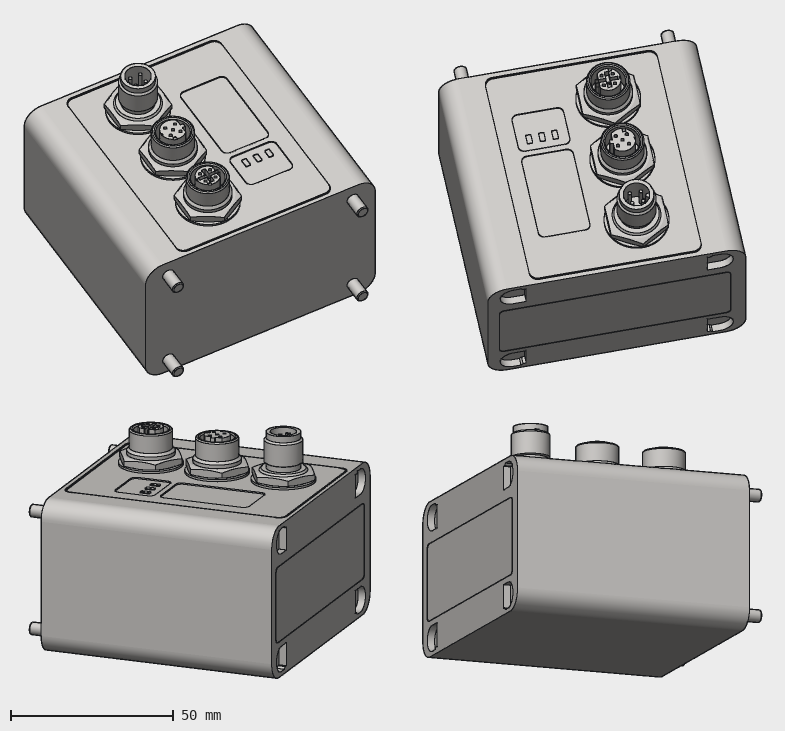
import cadquery as cq
import math

OVERALL_LENGTH = 83
BODY_LENGTH = 76.5
BODY_WIDTH = 81.0
BODY_HEIGHT = 49.0
BODY_EDGE_RADIUS = 6.1

PIN_DIAMETER = 4.0
PIN_LENGTH = OVERALL_LENGTH - BODY_LENGTH
PIN_CHAMFER = 0.3
SCREW_SPACING_Y = 65.0
SCREW_SPACING_Z = 38.0
HEAD_POCKET_DIAMETER = 8.1
HEAD_POCKET_DEPTH = 2.4
HEAD_POCKET_CORNER_DROP = 0.7
HEAD_POCKET_SHOULDER = 2.4

PLATE_WIDTH = 72.55
PLATE_HEIGHT = 24.4
PLATE_CORNER_RADIUS = 1.5
PLATE_DEPTH = 0.2
PLATE_OFFSET_Y = 0.5
PLATE_OFFSET_Z = -0.8

PANEL_LENGTH = 73.4
PANEL_WIDTH = 53.95
PANEL_CORNER_RADIUS = 2.65
PANEL_OFFSET_Y = -0.3
PANEL_DEPTH = 0.25
FOIL_LENGTH = 72.55
FOIL_THICKNESS = 0.2
FOIL_TOP = BODY_HEIGHT - PANEL_DEPTH + FOIL_THICKNESS

WINDOW_WIDTH = 16.2
WINDOW_CENTER_Y = 12.95
WINDOW_CORNER_RADIUS = 1.9
WINDOW_DEPTH = 0.4
WINDOW_FLOOR = FOIL_TOP - WINDOW_DEPTH
DISPLAY_LENGTH = 29.4
DISPLAY_CENTER_X = -7.55
LAMP_WINDOW_LENGTH = 13.3
LAMP_WINDOW_CENTER_X = 15.6
LAMP_LENGTH = 3.1
LAMP_WIDTH = 1.7
LAMP_HEIGHT = 0.25
LAMP_PITCH = 4.1
LAMP_CORNER_RADIUS = 0.3
LAMP_CENTER_X = 13.0
LAMP_CENTER_Y = 13.1

CONNECTOR_PITCH = 22.0
CONNECTOR_Y = -9.5
WASHER_DIAMETER = 20.0
WASHER_TOP = 0.6
NUT_ACROSS_FLATS = 18.0
NUT_ACROSS_CORNERS = NUT_ACROSS_FLATS / math.cos(math.pi / 6)
NUT_TOP = 3.3
NUT_FACE_DIAMETER = 17.1
NUT_CHAMFER = 0.6
COLLAR_DIAMETER = 15.0
CONTACT_OFFSET = 1.75
CONTACT_DIAMETER = 1.0

PLUG_TOP = 15.6
PLUG_SHOULDER_DIAMETER = 13.95
PLUG_SHOULDER_TOP = 4.0
PLUG_NECK_DIAMETER = 10.7
PLUG_NECK_TOP = 5.7
PLUG_THREAD_DIAMETER = 12.0
PLUG_THREAD_BOTTOM = 6.1
PLUG_THREAD_TOP = 13.0
PLUG_TIP_DIAMETER = PLUG_NECK_DIAMETER
PLUG_TIP_BOTTOM = 13.6
PLUG_BORE_DIAMETER = 8.1
PLUG_BORE_DEPTH = 8.3
PLUG_PIN_DIAMETER = 1.1
PLUG_PIN_RECESS = 1.7
PLUG_KEY_WIDTH = 1.3
PLUG_KEY_TIP = 2.9

SOCKET_TOP = 11.4
SOCKET_DIAMETER = 13.4
SOCKET_RIM_DIAMETER = 12.5
SOCKET_RIM_CHAMFER = 0.4
SOCKET_COLLAR_TOP = 4.5
SOCKET_CONE_TOP = 5.3
SOCKET_BORE_DIAMETER = 10.7
SOCKET_BORE_MOUTH_DIAMETER = 11.5
SOCKET_BORE_CHAMFER = 0.4
SOCKET_BORE_FLOOR = 4.15
INSERT_TOP = 12.0
INSERT_FLAT = 3.0
INSERT_KEY_WIDTH = 1.3
INSERT_KEY_REACH = 4.0
FIVE_POLE_INSERT_DIAMETER = 8.1
SHIELDED_INSERT_DIAMETER = 7.8
CONTACT_DEPTH = 3.3
SIDE_NOTCH_X = 2.9
SIDE_NOTCH_Y = -1.2
SIDE_NOTCH_WIDTH = 1.0
END_NOTCH_WIDTH = 0.7
END_NOTCH_REACH = 0.3
NOTCH_DEPTH = 0.25

CROSS_SLOT_WIDTH_X = 1.1
CROSS_SLOT_WIDTH_Y = 1.3
CROSS_ARM_X = 2.8
CROSS_ARM_FRONT = 3.1
CROSS_DEPTH = 2.5


def rounded_box(length, width, height, radius):
    """Box centred in X and Y, standing on Z = 0, with rounded upright edges."""
    return cq.Workplane("XY").rect(length, width).extrude(height).edges("|Z").fillet(radius)


def turned(profile):
    """Body of revolution about Z from (diameter, height) corners, closed along the axis."""
    outline = [(0, profile[0][1])]
    outline += [(diameter / 2, height) for diameter, height in profile]
    outline += [(0, profile[-1][1])]
    return cq.Workplane("XZ").polyline(outline).close().revolve(360, (0, 0), (0, 1))


def cylinder(diameter, bottom, top):
    return cq.Workplane("XY").workplane(offset=bottom).circle(diameter / 2).extrude(top - bottom)


def four_contacts(diameter, bottom, top):
    spacing = 2 * CONTACT_OFFSET
    return (
        cq.Workplane("XY")
        .workplane(offset=bottom)
        .rect(spacing, spacing, forConstruction=True)
        .vertices()
        .circle(diameter / 2)
        .extrude(top - bottom)
    )


def block(x_range, y_range, z_range):
    lows, highs = zip(x_range, y_range, z_range)
    size = [high - low for low, high in zip(lows, highs)]
    return cq.Workplane("XY").box(*size, centered=False).translate(lows)


def make_housing():
    return (
        cq.Workplane("XY")
        .box(BODY_LENGTH, BODY_WIDTH, BODY_HEIGHT, centered=(True, True, False))
        .edges("|X")
        .fillet(BODY_EDGE_RADIUS)
    )


def screw_pin():
    """Pin standing out of the +X end, on the X axis."""
    pin = cq.Workplane("YZ").circle(PIN_DIAMETER / 2).extrude(PIN_LENGTH)
    return pin.faces(">X").chamfer(PIN_CHAMFER).translate((BODY_LENGTH / 2, 0, 0))


def head_pocket(side_y, side_z):
    """Round pocket squared off towards the middle of the end face, with one stepped corner."""
    radius = HEAD_POCKET_DIAMETER / 2
    clipped = radius - HEAD_POCKET_CORNER_DROP
    round_part = cq.Workplane("YZ").circle(radius).extrude(HEAD_POCKET_DEPTH)
    square_part = (
        cq.Workplane("YZ")
        .moveTo(0, -side_z * radius)
        .lineTo(-side_y * radius, -side_z * radius)
        .lineTo(-side_y * radius, side_z * clipped)
        .lineTo(-side_y * (HEAD_POCKET_SHOULDER + HEAD_POCKET_CORNER_DROP), side_z * clipped)
        .lineTo(-side_y * HEAD_POCKET_SHOULDER, side_z * radius)
        .lineTo(0, side_z * radius)
        .close()
        .extrude(HEAD_POCKET_DEPTH)
    )
    return round_part.union(square_part).translate((-BODY_LENGTH / 2, 0, 0))


def add_screws(body):
    for side_y in (-1, 1):
        for side_z in (-1, 1):
            y = side_y * SCREW_SPACING_Y / 2
            z = BODY_HEIGHT / 2 + side_z * SCREW_SPACING_Z / 2
            body = body.union(screw_pin().translate((0, y, z)))
            body = body.cut(head_pocket(side_y, side_z).translate((0, y, z)))
    return body


def cut_name_plate(body):
    plate = (
        cq.Workplane("YZ")
        .rect(PLATE_WIDTH, PLATE_HEIGHT)
        .extrude(PLATE_DEPTH)
        .edges("|X")
        .fillet(PLATE_CORNER_RADIUS)
    )
    center = (-BODY_LENGTH / 2, PLATE_OFFSET_Y, BODY_HEIGHT / 2 + PLATE_OFFSET_Z)
    return body.cut(plate.translate(center))


def add_control_panel(body):
    recess = rounded_box(PANEL_LENGTH, PANEL_WIDTH, PANEL_DEPTH, PANEL_CORNER_RADIUS)
    foil = rounded_box(FOIL_LENGTH, PANEL_WIDTH, FOIL_THICKNESS, PANEL_CORNER_RADIUS)
    center = (0, PANEL_OFFSET_Y, BODY_HEIGHT - PANEL_DEPTH)
    return body.cut(recess.translate(center)).union(foil.translate(center))


def add_windows(body):
    windows = (
        (DISPLAY_CENTER_X, DISPLAY_LENGTH),
        (LAMP_WINDOW_CENTER_X, LAMP_WINDOW_LENGTH),
    )
    for center_x, length in windows:
        window = rounded_box(length, WINDOW_WIDTH, WINDOW_DEPTH, WINDOW_CORNER_RADIUS)
        body = body.cut(window.translate((center_x, WINDOW_CENTER_Y, WINDOW_FLOOR)))
    for step in (-1, 0, 1):
        lamp = rounded_box(LAMP_LENGTH, LAMP_WIDTH, LAMP_HEIGHT, LAMP_CORNER_RADIUS)
        y = LAMP_CENTER_Y + step * LAMP_PITCH
        body = body.union(lamp.translate((LAMP_CENTER_X, y, WINDOW_FLOOR)))
    return body


def connector_base():
    """Washer below a hexagon nut whose corners point along X and are chamfered at both ends."""
    washer = cylinder(WASHER_DIAMETER, -PANEL_DEPTH, WASHER_TOP)
    hexagon = (
        cq.Workplane("XY")
        .workplane(offset=WASHER_TOP)
        .polygon(6, NUT_ACROSS_CORNERS)
        .extrude(NUT_TOP - WASHER_TOP)
    )
    envelope = turned(
        [
            (NUT_FACE_DIAMETER, WASHER_TOP),
            (NUT_ACROSS_CORNERS, WASHER_TOP + NUT_CHAMFER),
            (NUT_ACROSS_CORNERS, NUT_TOP - NUT_CHAMFER),
            (NUT_FACE_DIAMETER, NUT_TOP),
        ]
    )
    return washer.union(hexagon.intersect(envelope))


def plug_connector():
    shell = turned(
        [
            (COLLAR_DIAMETER, NUT_TOP),
            (PLUG_SHOULDER_DIAMETER, PLUG_SHOULDER_TOP),
            (PLUG_NECK_DIAMETER, PLUG_SHOULDER_TOP),
            (PLUG_NECK_DIAMETER, PLUG_NECK_TOP),
            (PLUG_THREAD_DIAMETER, PLUG_THREAD_BOTTOM),
            (PLUG_THREAD_DIAMETER, PLUG_THREAD_TOP),
            (PLUG_TIP_DIAMETER, PLUG_TIP_BOTTOM),
            (PLUG_TIP_DIAMETER, PLUG_TOP),
        ]
    )
    floor = PLUG_TOP - PLUG_BORE_DEPTH
    pin_top = PLUG_TOP - PLUG_PIN_RECESS
    bore = cylinder(PLUG_BORE_DIAMETER, floor, PLUG_TOP)
    pins = four_contacts(PLUG_PIN_DIAMETER, floor, pin_top)
    half_key = PLUG_KEY_WIDTH / 2
    key_center_y = -PLUG_KEY_TIP - half_key
    key_tip = cylinder(PLUG_KEY_WIDTH, floor, pin_top).translate((0, key_center_y, 0))
    key_root = block((-half_key, half_key), (-PLUG_NECK_DIAMETER / 2, key_center_y), (floor, pin_top))
    key = key_tip.union(key_root)
    return connector_base().union(shell).cut(bore).union(pins).union(key)


def socket_connector(insert_diameter):
    """Socket shell around a contact insert with a flat and key on +Y and two shallow notches."""
    shell = turned(
        [
            (COLLAR_DIAMETER, NUT_TOP),
            (COLLAR_DIAMETER, SOCKET_COLLAR_TOP),
            (SOCKET_DIAMETER, SOCKET_CONE_TOP),
            (SOCKET_DIAMETER, SOCKET_TOP - SOCKET_RIM_CHAMFER),
            (SOCKET_RIM_DIAMETER, SOCKET_TOP),
        ]
    )
    bore = turned(
        [
            (SOCKET_BORE_DIAMETER, SOCKET_BORE_FLOOR),
            (SOCKET_BORE_DIAMETER, SOCKET_TOP - SOCKET_BORE_CHAMFER),
            (SOCKET_BORE_MOUTH_DIAMETER, SOCKET_TOP),
        ]
    )
    insert_heights = (SOCKET_BORE_FLOOR, INSERT_TOP)
    half_width = insert_diameter / 2
    beyond_flat = block((-half_width, half_width), (INSERT_FLAT, half_width), insert_heights)
    key = block((-INSERT_KEY_WIDTH / 2, INSERT_KEY_WIDTH / 2), (0, INSERT_KEY_REACH), insert_heights)
    insert = cylinder(insert_diameter, *insert_heights).cut(beyond_flat).union(key)
    notch_heights = (INSERT_TOP - NOTCH_DEPTH, INSERT_TOP)
    half_notch = SIDE_NOTCH_WIDTH / 2
    side_notch = block(
        (SIDE_NOTCH_X, half_width),
        (SIDE_NOTCH_Y - half_notch, SIDE_NOTCH_Y + half_notch),
        notch_heights,
    )
    end_notch = block(
        (-END_NOTCH_WIDTH / 2, END_NOTCH_WIDTH / 2),
        (-half_width, END_NOTCH_REACH - half_width),
        notch_heights,
    )
    insert = insert.cut(side_notch).cut(end_notch)
    insert = insert.cut(four_contacts(CONTACT_DIAMETER, INSERT_TOP - CONTACT_DEPTH, INSERT_TOP))
    return connector_base().union(shell).cut(bore).union(insert)


def center_contact():
    return cylinder(CONTACT_DIAMETER, INSERT_TOP - CONTACT_DEPTH, INSERT_TOP)


def five_pole_socket():
    return socket_connector(FIVE_POLE_INSERT_DIAMETER).cut(center_contact())


def shielded_socket():
    """Socket with crossed shield slots and a deeper hole where they meet."""
    half_x = CROSS_SLOT_WIDTH_X / 2
    half_y = CROSS_SLOT_WIDTH_Y / 2
    heights = (INSERT_TOP - CROSS_DEPTH, INSERT_TOP)
    slot_along_x = block((-CROSS_ARM_X, CROSS_ARM_X), (-half_y, half_y), heights)
    slot_along_y = block((-half_x, half_x), (-CROSS_ARM_FRONT, INSERT_KEY_REACH), heights)
    socket = socket_connector(SHIELDED_INSERT_DIAMETER)
    return socket.cut(slot_along_x).cut(slot_along_y).cut(center_contact())


def add_connectors(body):
    connectors = (plug_connector(), five_pole_socket(), shielded_socket())
    for step, connector in zip((-1, 0, 1), connectors):
        body = body.union(connector.translate((step * CONNECTOR_PITCH, CONNECTOR_Y, BODY_HEIGHT)))
    return body


housing = add_screws(make_housing())
housing = cut_name_plate(housing)
housing = add_control_panel(housing)
housing = add_windows(housing)
result = add_connectors(housing)